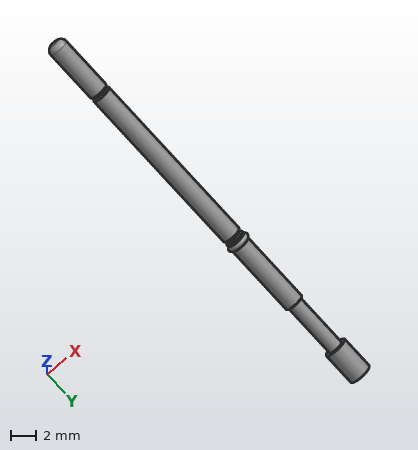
import cadquery as cq

length = 37.0
head_diameter = 2.0
head_length = 3.0
plunger_diameter = 1.3
plunger_length = 5.0
barrel_diameter = 1.65
tip_radius = 0.48

ring_diameter = head_diameter
ring_width = 0.5
ring_center = 22.25

groove_centers = (21.6, 5.5)
groove_width = 0.37
groove_depth = 0.1

barrel_radius = barrel_diameter / 2
head_rear = length - head_length
barrel_length = head_rear - plunger_length


def cylinder(diameter, start, end):
    """Cylinder along Y between two positions."""
    return cq.Workplane("XZ", origin=(0, end, 0)).circle(diameter / 2).extrude(end - start)


def turned(section):
    """Solid made by turning a section in the XY plane about the Y axis."""
    return section.close().revolve(360, (0, 0, 0), (0, 1, 0))


def make_press_ring():
    """Collar whose rim bulges out from the barrel surface as one arc."""
    rear = ring_center - ring_width / 2
    front = ring_center + ring_width / 2
    return turned(
        cq.Workplane("XY")
        .moveTo(0, rear)
        .lineTo(barrel_radius, rear)
        .threePointArc((ring_diameter / 2, ring_center), (barrel_radius, front))
        .lineTo(0, front)
    )


def make_groove_cut(center):
    """Ring of triangular section to remove from the barrel surface."""
    return turned(
        cq.Workplane("XY")
        .moveTo(barrel_radius, center - groove_width / 2)
        .lineTo(barrel_radius - groove_depth, center)
        .lineTo(barrel_radius, center + groove_width / 2)
    )


barrel = cylinder(barrel_diameter, 0, barrel_length).faces("<Y").edges().fillet(tip_radius)
barrel = barrel.union(make_press_ring())
for groove_center in groove_centers:
    barrel = barrel.cut(make_groove_cut(groove_center))

plunger = cylinder(plunger_diameter, barrel_length, head_rear)
head = cylinder(head_diameter, head_rear, length)

result = barrel.union(plunger).union(head)